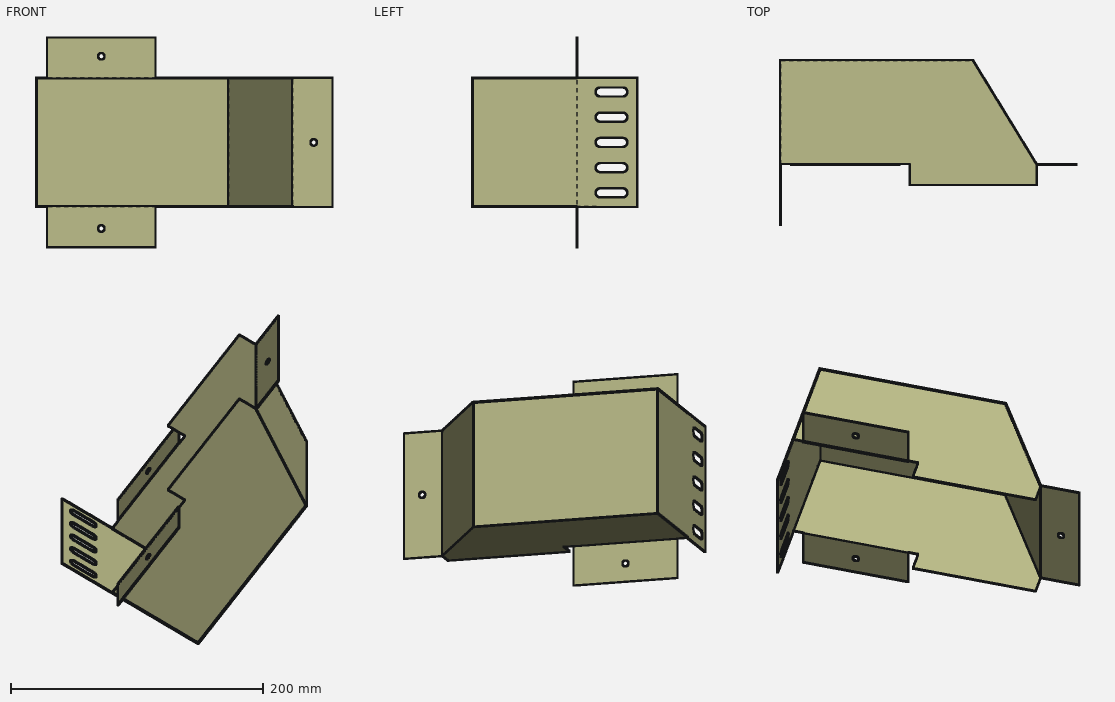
import cadquery as cq
import math

sheet = 0.8
length = 235.36
depth = 131.0
inner_height = 101.0
outer_height = inner_height + 2 * sheet

flange_reach = 32.0
hole_diameter = 5.0
hole_inset = 15.0
mount_depth = 82.8
mount_back_y = depth - mount_depth
mount_y = mount_back_y - sheet
side_flange_start = 8.8
side_flange_length = 86.2
end_flange_length = 31.6

slope_start_x = 153.0
slope_end_x = length - end_flange_length
skirt_start_x = 103.0
skirt_y = 31.7

slot_count = 5
slot_pitch = 20.0
slot_length = 25.0
slot_width = 7.0
slot_center_y = 20.5


def plate_along_z(points, height):
    """Closed XY outline extruded symmetrically about the mid-height plane."""
    return cq.Workplane("XY").polyline(points).close().extrude(height / 2, both=True)


def block(x_start, x_end, y_start, y_end, z_start, z_end):
    """Box given by its limits along the three axes."""
    size = (x_end - x_start, y_end - y_start, z_end - z_start)
    return cq.Workplane("XY").box(*size, centered=False).translate((x_start, y_start, z_start))


def mounting_hole(x, z):
    """Cutter along Y through a mounting flange."""
    center = cq.Vector(x, mount_y, z)
    return cq.Workplane(cq.Solid.makeCylinder(hole_diameter / 2, sheet, center, cq.Vector(0, 1, 0)))


def make_side_panel():
    """Upper side panel, with a skirt that drops below the mounting plane."""
    outline = [
        (0, mount_back_y),
        (0, depth),
        (slope_start_x, depth),
        (slope_end_x, mount_back_y),
        (slope_end_x, skirt_y),
        (skirt_start_x, skirt_y),
        (skirt_start_x, mount_back_y),
    ]
    panel = cq.Workplane("XY").polyline(outline).close().extrude(sheet)
    return panel.translate((0, 0, inner_height / 2))


def make_side_flange():
    """Upper mounting flange, bent outward from the edge of the side panel."""
    x_end = side_flange_start + side_flange_length
    z_inner = inner_height / 2
    z_tip = outer_height / 2 + flange_reach
    flange = block(side_flange_start, x_end, mount_y, mount_back_y, z_inner, z_tip)
    hole_x = side_flange_start + side_flange_length / 2
    return flange.cut(mounting_hole(hole_x, z_tip - hole_inset))


def make_back_wall():
    """Back sheet, sloped sheet and end flange folded from one strip."""
    run = slope_end_x - slope_start_x
    drop = depth - mount_back_y
    slope_angle = math.atan2(drop, run)
    bend_offset = sheet * math.tan(slope_angle / 2)
    folded_sheet = plate_along_z(
        [
            (0, depth),
            (slope_start_x, depth),
            (slope_end_x, mount_back_y),
            (slope_end_x, mount_y),
            (slope_end_x - bend_offset, mount_y),
            (slope_start_x - bend_offset, depth - sheet),
            (0, depth - sheet),
        ],
        inner_height,
    )
    half_height = outer_height / 2
    end_flange = block(slope_end_x, length, mount_y, mount_back_y, -half_height, half_height)
    end_flange = end_flange.cut(mounting_hole(length - hole_inset, 0))
    return folded_sheet.union(end_flange)


def make_housing():
    """Folded strip closed by two mirrored side panels with flanges."""
    upper_side = make_side_panel().union(make_side_flange())
    lower_side = upper_side.mirror("XY")
    return make_back_wall().union(upper_side).union(lower_side)


def make_end_plate():
    """Slotted plate nested between the side panels and in front of the back sheet."""
    nested = block(0, sheet, mount_back_y, depth - sheet, -inner_height / 2, inner_height / 2)
    exposed = block(0, sheet, 0, mount_back_y, -outer_height / 2, outer_height / 2)
    plate = nested.union(exposed)
    for index in range(slot_count):
        slot_z = (index - (slot_count - 1) / 2) * slot_pitch
        slot = cq.Workplane("YZ").center(slot_center_y, slot_z).slot2D(slot_length, slot_width).extrude(sheet)
        plate = plate.cut(slot)
    return plate


housing = make_housing()
end_plate = make_end_plate()

result = cq.Compound.makeCompound([housing.val(), end_plate.val()])